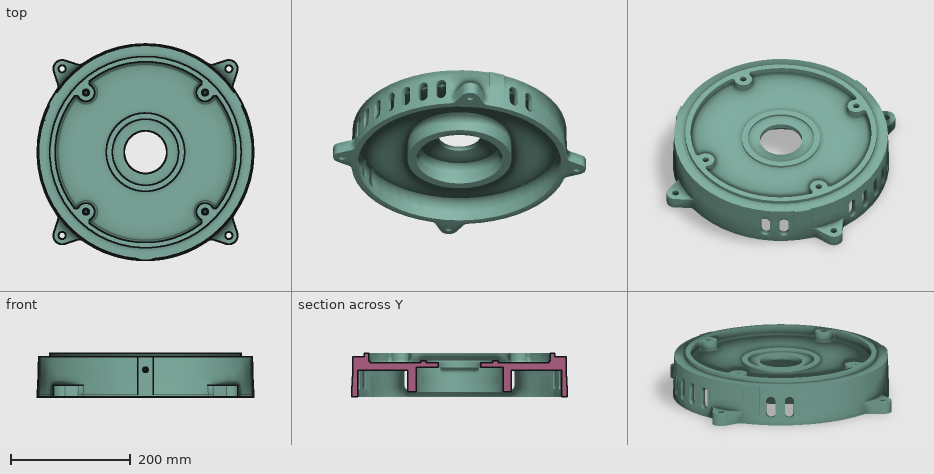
import cadquery as cq
import math

BASE_RADIUS = 180.5
LIP_HEIGHT = 4.7
SHOULDER_RADIUS = 178.5
SHOULDER_Z = 67.5
SPIGOT_RADIUS = 159.5
TOP_Z = 73.5

CAVITY_RADIUS = 169.5
CEILING_Z = 44.8
SEAT_Z = 49.5
HUB_OUTER_RADIUS = 86.5
HUB_INNER_RADIUS = 72.2
HUB_BOTTOM_Z = 8.5

POCKET_RADIUS = 151.0
FLOOR_Z = 57.8
FLOOR_FILLET = 4.5
CORNER_FILLET = 4.7
RING_OUTER_RADIUS = 65.5
RING_INNER_RADIUS = 55.2
RING_HEIGHT = 3.5
BORE_RADIUS = 35.5

BOSS_OFFSET = 99.3
BOSS_RADIUS = 14.5
BOSS_HOLE_RADIUS = 5.5
BOSS_HOLE_DEPTH = 14.5
BOSS_PILOT_RADIUS = 3.5
BOSS_PILOT_DEPTH = 18.0

LUG_OFFSET = 139.0
LUG_HEIGHT = 20.2
LUG_TIP_RADIUS = 14.8
LUG_HALF_ANGLE = 27.0
LUG_ROOT_FILLET = 9.5
LUG_ROOT_RADIUS = 173.3
LUG_HOLE_RADIUS = 5.8
UPRIGHT_LIMIT = 0.9

PAD_ANGLES = (30, 150, 270)
PAD_WIDTH = 26.0
SCREW_PAD_ANGLE = 270
PAD_HOLE_Z = 46.0
PAD_HOLE_RADIUS = 4.5
PAD_HOLE_DEPTH = 7.2
PAD_PILOT_RADIUS = 3.0

SLOT_ANGLES = (10, 20, 60, 70, 80, 90, 100, 110, 120, 160, 170)
SLOT_WIDTH = 15.5
SLOT_BOTTOM_Z = 12.3
SLOT_TOP_Z = 49.0

DIAGONALS = (45, 135, 225, 315)
CLEARANCE = 3.5


def cylinder(radius, bottom, top):
    """Cylinder on the Z axis between two heights."""
    return cq.Workplane("XY").workplane(offset=bottom).circle(radius).extrude(top - bottom)


def spin(shape, angle):
    """Turn a shape about the Z axis."""
    return shape.rotate((0, 0, 0), (0, 0, 1), angle)


def make_shell():
    """Drafted outer body with a straight base lip and a spigot on top."""
    profile = [
        (0, 0),
        (BASE_RADIUS, 0),
        (BASE_RADIUS, LIP_HEIGHT),
        (SHOULDER_RADIUS, SHOULDER_Z),
        (SPIGOT_RADIUS, SHOULDER_Z),
        (SPIGOT_RADIUS, TOP_Z),
        (0, TOP_Z),
    ]
    return cq.Workplane("XZ").polyline(profile).close().revolve(360, (0, 0), (0, 1))


def make_lug():
    """Wedge along +X with a round tip, its sides tangent to the tip."""
    tip_x = LUG_OFFSET * math.sqrt(2)
    half_angle = math.radians(LUG_HALF_ANGLE)
    tangent_x = tip_x + LUG_TIP_RADIUS * math.sin(half_angle)
    tangent_y = LUG_TIP_RADIUS * math.cos(half_angle)
    root_y = tangent_y + (tangent_x - LUG_ROOT_RADIUS) * math.tan(half_angle)
    return (
        cq.Workplane("XY")
        .moveTo(LUG_ROOT_RADIUS, -root_y)
        .lineTo(tangent_x, -tangent_y)
        .threePointArc((tip_x + LUG_TIP_RADIUS, 0), (tangent_x, tangent_y))
        .lineTo(LUG_ROOT_RADIUS, root_y)
        .close()
        .extrude(LUG_HEIGHT)
    )


def add_lugs(body):
    """Four lugs blended into the base of the body."""
    lug = make_lug()
    for angle in DIAGONALS:
        body = body.union(spin(lug, angle))
    corners = [
        edge
        for edge in body.edges().vals()
        if abs(edge.tangentAt(0.5).z) > UPRIGHT_LIMIT
        and edge.Center().z < LUG_HEIGHT
        and min(abs(edge.Center().x), abs(edge.Center().y)) > BOSS_OFFSET
        and math.hypot(edge.Center().x, edge.Center().y) < BASE_RADIUS + CLEARANCE / 2
    ]
    return body.newObject(corners).fillet(LUG_ROOT_FILLET)


def add_pads(body):
    """Vertical strips that carry the lip radius up to the shoulder."""
    sleeve = cylinder(BASE_RADIUS, 0, SHOULDER_Z)
    inner_radius = CAVITY_RADIUS + CLEARANCE
    strip_depth = BASE_RADIUS + CLEARANCE - inner_radius
    strip = (
        cq.Workplane("XY")
        .box(strip_depth, PAD_WIDTH, SHOULDER_Z, centered=(False, True, False))
        .translate((inner_radius, 0, 0))
    )
    for angle in PAD_ANGLES:
        body = body.union(spin(strip, angle).intersect(sleeve))
    return body


def make_pocket():
    """Round recess with the four bosses left standing and rounded floor edges."""
    pocket = cylinder(POCKET_RADIUS, FLOOR_Z, TOP_Z)
    for angle in DIAGONALS:
        boss = cylinder(BOSS_RADIUS, FLOOR_Z, TOP_Z).translate((BOSS_OFFSET * math.sqrt(2), 0, 0))
        pocket = pocket.cut(spin(boss, angle))
    pocket = pocket.edges("|Z").fillet(CORNER_FILLET)
    return pocket.faces("<Z").edges().fillet(FLOOR_FILLET)


def make_cavity():
    """Space under the floor: an annulus around the hub and the bearing seat inside it."""
    cavity = cylinder(CAVITY_RADIUS, 0, CEILING_Z)
    hub = cylinder(HUB_OUTER_RADIUS, HUB_BOTTOM_Z, CEILING_Z)
    seat = cylinder(HUB_INNER_RADIUS, 0, SEAT_Z)
    return cavity.cut(hub).union(seat)


def make_slot():
    """Upright round-ended slot through the skirt on the +X side."""
    inner_radius = CAVITY_RADIUS - CLEARANCE
    return (
        cq.Workplane("YZ")
        .workplane(offset=inner_radius)
        .center(0, (SLOT_BOTTOM_Z + SLOT_TOP_Z) / 2)
        .slot2D(SLOT_TOP_Z - SLOT_BOTTOM_Z, SLOT_WIDTH, 90)
        .extrude(BASE_RADIUS + CLEARANCE - inner_radius)
    )


def stepped_hole(radius, depth, pilot_radius, pilot_depth):
    """Cutter that enters the part at Z = 0 going down, with a narrower pilot at its end."""
    return cylinder(radius, -depth, 0).union(cylinder(pilot_radius, -pilot_depth, 0))


def make_ring():
    """Low ring standing on the pocket floor around the bore."""
    top = FLOOR_Z + RING_HEIGHT
    return cylinder(RING_OUTER_RADIUS, FLOOR_Z, top).cut(cylinder(RING_INNER_RADIUS, FLOOR_Z, top))


def cut_diagonal_holes(body):
    """Blind screw holes in the bosses and through holes in the lugs."""
    boss_hole = stepped_hole(BOSS_HOLE_RADIUS, BOSS_HOLE_DEPTH, BOSS_PILOT_RADIUS, BOSS_PILOT_DEPTH)
    boss_hole = boss_hole.translate((BOSS_OFFSET * math.sqrt(2), 0, TOP_Z))
    lug_hole = cylinder(LUG_HOLE_RADIUS, 0, LUG_HEIGHT)
    lug_hole = lug_hole.translate((LUG_OFFSET * math.sqrt(2), 0, 0))
    for angle in DIAGONALS:
        body = body.cut(spin(boss_hole, angle)).cut(spin(lug_hole, angle))
    return body


def cut_slots(body):
    """Vent slots, arranged symmetrically about the YZ plane."""
    slot = make_slot()
    for angle in SLOT_ANGLES:
        body = body.cut(spin(slot, angle))
    return body


def make_pad_hole():
    """Radial stepped hole through the skirt, placed on its pad."""
    through_depth = BASE_RADIUS - CAVITY_RADIUS + CLEARANCE
    hole = stepped_hole(PAD_HOLE_RADIUS, PAD_HOLE_DEPTH, PAD_PILOT_RADIUS, through_depth)
    hole = hole.rotate((0, 0, 0), (0, 1, 0), 90).translate((BASE_RADIUS, 0, PAD_HOLE_Z))
    return spin(hole, SCREW_PAD_ANGLE)


body = add_lugs(make_shell())
body = add_pads(body)
body = body.cut(make_pocket()).cut(make_cavity())
body = body.union(make_ring()).cut(cylinder(BORE_RADIUS, 0, TOP_Z))
body = cut_diagonal_holes(body)
body = cut_slots(body)
result = body.cut(make_pad_hole())